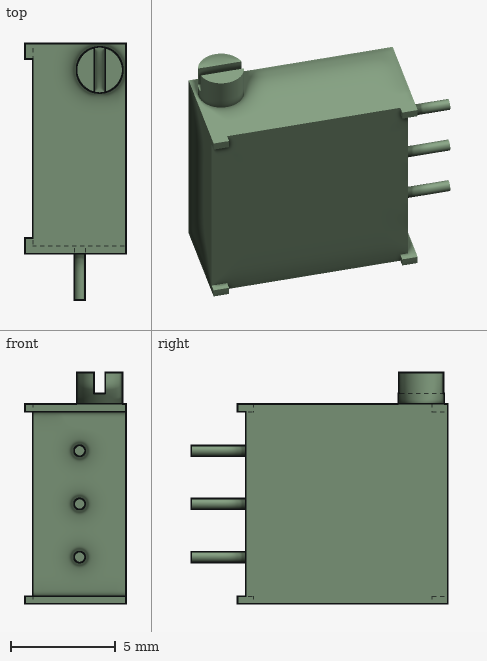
import cadquery as cq

width = 4.83
housing_length = 10.05
overall_length = 12.25
overall_height = 11.05
screw_height = 1.51
housing_height = overall_height - screw_height

plate_thickness = 0.38
foot_height = 0.37
foot_length = 0.76
front_inset = 0.39

screw_diameter = 2.2
screw_x = 3.56
screw_to_back = 1.27
slot_width = 0.53
slot_depth = 1.0

pin_diameter = 0.53
pin_pitch = 2.54
pin_x = 2.61
pin_embed = 0.12
pin_length = overall_length - housing_length + front_inset + pin_embed


def make_body():
    """Main block between and through the end plates."""
    return cq.Workplane("XY").box(
        width - foot_height, housing_length - front_inset, housing_height, centered=False
    ).translate((foot_height, front_inset, 0))


def make_end_plate(bottom_z):
    """Flat plate whose left edge is notched to leave a foot at each end."""
    plate = cq.Workplane("XY").box(width, housing_length, plate_thickness, centered=False)
    notch = cq.Workplane("XY").box(
        foot_height, housing_length - 2 * foot_length, plate_thickness, centered=False
    ).translate((0, foot_length, 0))
    return plate.cut(notch).translate((0, 0, bottom_z))


def make_screw():
    """Round screw head with a driver slot running along Y."""
    head = cq.Workplane("XY").circle(screw_diameter / 2).extrude(screw_height)
    slot = cq.Workplane("XY").box(
        slot_width, screw_diameter, slot_depth, centered=(True, True, False)
    ).translate((0, 0, screw_height - slot_depth))
    return head.cut(slot).translate((screw_x, housing_length - screw_to_back, housing_height))


def make_pin(center_z):
    """Round lead projecting from the front face toward -Y."""
    return (
        cq.Workplane("XZ", origin=(pin_x, front_inset + pin_embed, 0))
        .center(0, center_z)
        .circle(pin_diameter / 2)
        .extrude(pin_length)
    )


result = make_body()
for plate_z in (0, housing_height - plate_thickness):
    result = result.union(make_end_plate(plate_z))
result = result.union(make_screw())
for step in (-1, 0, 1):
    result = result.union(make_pin(housing_height / 2 + step * pin_pitch))